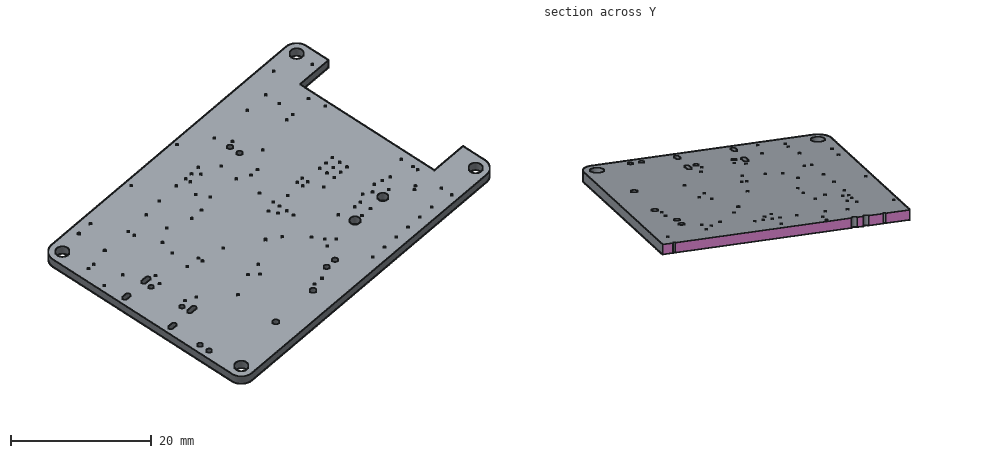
import cadquery as cq

board_width = 37.7
board_length = 54.7
board_thickness = 1.6
corner_radius = 2.0

notch_x = 0.05
notch_width = 25.3
notch_depth = 6.2

mounting_diameter = 2.0
mounting_x = board_width / 2 - corner_radius
mounting_y = board_length / 2 - corner_radius

connector_x = 0.05
slot_width = 0.75
slot_offset = 4.3
inner_slot_length = 1.65
inner_slot_y = -21.7
outer_slot_length = 1.4
outer_slot_y = -25.95
peg_diameter = 0.75
peg_offset = 2.9
peg_y = -22.2

post_diameter = 1.6
post_points = [(10.55, 12.5), (10.55, 6.45)]
wide_pin_diameter = 1.0
wide_pin_points = [(14.95, -7.65), (14.95, -15.7)]
pin_diameter = 0.9
pin_points = [(-12.15, 5.5), (-10.35, 5.5), (13.4, -1.15), (13.4, -2.95)]
edge_pin_diameter = 0.8
edge_pin_points = [(9.75, -26.1), (11.45, -26.1)]
large_via_diameter = 0.4
large_via_points = [(3.4, -4.65), (14.35, -5.05), (-17.35, -21.2), (-12.4, -21.25)]

via_diameter = 0.305

large_array_centre = (1.55, 12.15)
large_array_count = 3
large_array_pitch = 1.35
small_array_centre = (0.05, 7.15)
small_array_count = 2
small_array_pitch = 1.05

edge_line_x = 17.05
edge_line_top = 15.55
edge_line_bottom = 2.8
edge_line_count = 6

via_columns = [
    (-14.95, [16.45, 12.5, 5.35]),
    (-12.95, [-0.4, -5.15]),
    (-12.85, [-1.95, -3.25, -8.9]),
    (-11.85, [-24.25, -25.4]),
    (-9.5, [16.1, 14.75]),
    (-7.15, [-6.35, -8.4]),
    (-6.35, [4.8, 3.4]),
    (8.05, [13.5, 11.0, 5.75]),
    (8.8, [16.1, 12.25, 9.65, 8.4]),
]

via_rows = [
    (19.7, [7.75, 9.95, 10.85]),
    (19.2, [15.7, 17.65]),
    (1.55, [-3.1, -0.55, 0.65, 2.0, 3.3]),
    (0.95, [-18.1, 9.7]),
    (-12.15, [-12.55, -8.65]),
    (-13.6, [-1.4, -0.65]),
    (-16.25, [-12.3, -11.2]),
]

single_vias = [
    (-13.8, 25.2), (-17.05, 20.6), (-7.1, 20.35), (-9.85, 19.85), (12.65, 17.1),
    (-12.35, 16.45), (13.0, 16.45), (8.4, 14.8), (10.25, 14.1), (10.7, 9.65),
    (2.95, 8.4), (-8.25, 8.15), (10.65, 7.8), (-12.6, 6.55), (0.15, 3.85),
    (10.9, 2.0), (-10.65, 1.9), (-7.45, 1.5), (1.35, 0.4), (10.85, 0.15),
    (8.0, 0.0), (0.1, -0.2), (-11.8, -1.15), (4.8, -2.7), (-12.0, -3.25),
    (-7.95, -3.6), (-9.8, -4.6), (14.3, -6.55), (5.75, -8.9), (-17.85, -9.3),
    (-0.05, -9.85), (7.15, -10.2), (5.95, -11.4), (-7.3, -14.65), (7.45, -15.25),
    (-4.85, -15.3), (-1.6, -15.85), (-17.35, -18.65), (3.3, -19.5), (-3.85, -20.15),
    (-2.35, -20.95), (2.5, -21.05), (-7.45, -23.1), (-8.05, -26.35),
]


def make_board():
    """Flat plate with rounded corners and the connector notch."""
    plate = (
        cq.Workplane("XY")
        .rect(board_width, board_length)
        .extrude(board_thickness)
        .edges("|Z")
        .fillet(corner_radius)
    )
    notch = (
        cq.Workplane("XY")
        .center(notch_x, board_length / 2)
        .rect(notch_width, 2 * notch_depth)
        .extrude(board_thickness)
    )
    return plate.cut(notch)


def square_array(centre, count, pitch):
    """Points of a count x count grid about its centre."""
    offsets = [(i - (count - 1) / 2) * pitch for i in range(count)]
    return [(centre[0] + dx, centre[1] + dy) for dx in offsets for dy in offsets]


def edge_line():
    """Evenly spaced points down the +X edge."""
    pitch = (edge_line_top - edge_line_bottom) / (edge_line_count - 1)
    return [(edge_line_x, edge_line_top - i * pitch) for i in range(edge_line_count)]


def all_vias():
    """Every small via position on the board."""
    points = square_array(large_array_centre, large_array_count, large_array_pitch)
    points += square_array(small_array_centre, small_array_count, small_array_pitch)
    points += edge_line()
    points += [(x, y) for x, column in via_columns for y in column]
    points += [(x, y) for y, row in via_rows for x in row]
    return points + single_vias


def side_pair(centre_x, offset, y):
    """Two points at equal distances to either side of centre_x."""
    return [(centre_x - offset, y), (centre_x + offset, y)]


def drills(points, diameter):
    """Round cutters through the full thickness."""
    return cq.Workplane("XY").pushPoints(points).circle(diameter / 2).extrude(board_thickness).vals()


def slots(y, length):
    """Pair of round-ended cutters, long in Y."""
    pair = cq.Workplane("XY").pushPoints(side_pair(connector_x, slot_offset, y))
    return pair.slot2D(length, slot_width, 90).extrude(board_thickness).vals()


mounting_points = side_pair(0, mounting_x, mounting_y) + side_pair(0, mounting_x, -mounting_y)

hole_groups = [
    (mounting_points, mounting_diameter),
    (side_pair(connector_x, peg_offset, peg_y), peg_diameter),
    (post_points, post_diameter),
    (wide_pin_points, wide_pin_diameter),
    (pin_points, pin_diameter),
    (edge_pin_points, edge_pin_diameter),
    (large_via_points, large_via_diameter),
    (all_vias(), via_diameter),
]

cutters = slots(inner_slot_y, inner_slot_length) + slots(outer_slot_y, outer_slot_length)
for points, diameter in hole_groups:
    cutters += drills(points, diameter)

result = cq.Workplane("XY").newObject([make_board().val().cut(*cutters)])